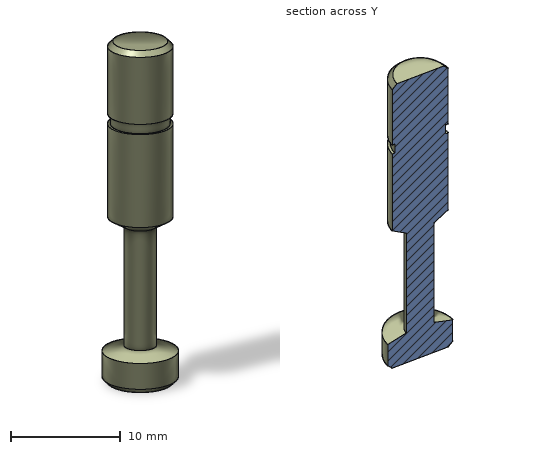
import cadquery as cq

length = 33.0
head_diameter = 7.0
shank_diameter = 3.0
body_diameter = 6.0
groove_diameter = 5.48

head_rim_height = 3.0
head_cone_top = 3.53
body_cone_bottom = 15.1
body_bottom = 16.0
groove_bottom = 25.0
groove_width = 1.0
chamfer = 0.5

head_radius = head_diameter / 2
shank_radius = shank_diameter / 2
body_radius = body_diameter / 2
groove_radius = groove_diameter / 2
groove_top = groove_bottom + groove_width

profile = [
    (0, 0),
    (head_radius - chamfer, 0),
    (head_radius, chamfer),
    (head_radius, head_rim_height),
    (shank_radius, head_cone_top),
    (shank_radius, body_cone_bottom),
    (body_radius, body_bottom),
    (body_radius, groove_bottom),
    (groove_radius, groove_bottom),
    (groove_radius, groove_top),
    (body_radius, groove_top),
    (body_radius, length - chamfer),
    (body_radius - chamfer, length),
    (0, length),
]

result = cq.Workplane("XZ").polyline(profile).close().revolve(360, (0, 0, 0), (0, 1, 0))